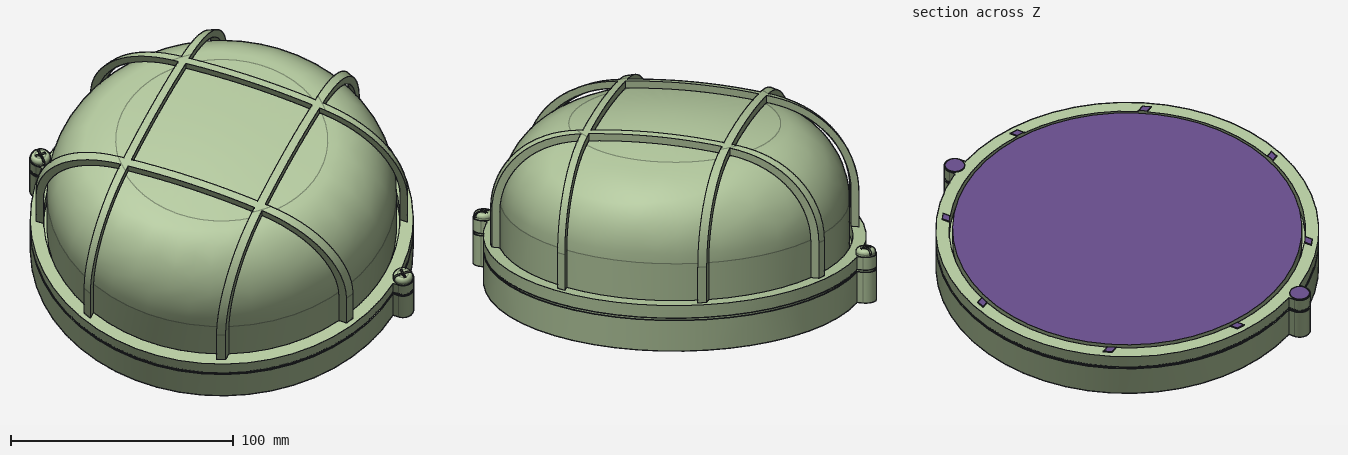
import cadquery as cq
import math

base_radius = 86.0
base_height = 22.0
groove_bottom = 14.8
groove_height = 1.1
groove_depth = 0.5
groove_top = groove_bottom + groove_height

glass_radius = 78.5
shoulder_start = 39.3
shoulder_radius = 37.4
shoulder_sweep = math.radians(80)

guard_gap = 1.5
guard_thickness = 3.4
bar_width = 3.7
bar_offset = 32.7

overall_length = 187.0
boss_radius = 4.9
boss_offset = overall_length / 2 - boss_radius

head_radius = 4.5
head_height = 3.0
head_rounding = 2.0
slot_width = 1.0
slot_depth = 2.2
slot_tilt = 45


def dome(offset, bottom):
    """Solid dome grown outward from the glass surface by offset."""
    radius = glass_radius + offset
    round_radius = shoulder_radius + offset
    center_r = glass_radius - shoulder_radius

    def shoulder_point(angle):
        return (
            center_r + round_radius * math.cos(angle),
            shoulder_start + round_radius * math.sin(angle),
        )

    shoulder_end = shoulder_point(shoulder_sweep)
    crown_radius = shoulder_end[0] / math.cos(shoulder_sweep)
    crown_center = shoulder_end[1] - crown_radius * math.sin(shoulder_sweep)
    crown_middle = (math.pi / 2 + shoulder_sweep) / 2
    return (
        cq.Workplane("XZ")
        .moveTo(0, bottom)
        .lineTo(radius, bottom)
        .lineTo(radius, shoulder_start)
        .threePointArc(shoulder_point(shoulder_sweep / 2), shoulder_end)
        .threePointArc(
            (
                crown_radius * math.cos(crown_middle),
                crown_center + crown_radius * math.sin(crown_middle),
            ),
            (0, crown_center + crown_radius),
        )
        .close()
        .revolve(360, (0, 0, 0), (0, 1, 0))
    )


def base_layer(bottom, height, inset):
    """Disc with both bosses, its outline pulled inward by inset."""
    layer = cq.Workplane("XY", origin=(0, 0, bottom))
    disc = layer.circle(base_radius - inset).extrude(height)
    boss_bar = layer.slot2D(overall_length - 2 * inset, 2 * (boss_radius - inset)).extrude(height)
    return disc.union(boss_bar)


def make_base():
    housing = base_layer(0, groove_bottom, 0)
    gasket = base_layer(groove_bottom, groove_height, groove_depth)
    ring = base_layer(groove_top, base_height - groove_top, 0)
    opening = (
        cq.Workplane("XY", origin=(0, 0, groove_top))
        .circle(glass_radius + guard_gap)
        .extrude(base_height - groove_top)
    )
    return housing.union(gasket).union(ring.cut(opening))


def make_guard():
    shell = dome(guard_gap + guard_thickness, groove_top).cut(dome(guard_gap, groove_top))
    reach = 2 * base_radius
    bars = cq.Workplane("XY")
    for side in (-1, 1):
        position = side * bar_offset
        along_x = cq.Workplane("XY").center(0, position).rect(reach, bar_width).extrude(reach)
        along_y = cq.Workplane("XY").center(position, 0).rect(bar_width, reach).extrude(reach)
        bars = bars.union(along_x).union(along_y)
    return shell.intersect(bars)


def make_screw_head(slot_angle):
    head = (
        cq.Workplane("XY")
        .circle(head_radius)
        .extrude(head_height)
        .faces(">Z")
        .edges()
        .fillet(head_rounding)
    )
    flat_radius = head_radius - head_rounding
    level = cq.Workplane("XY", origin=(0, 0, head_height - slot_depth))
    slots = (
        level.rect(2 * head_radius, slot_width)
        .extrude(slot_depth)
        .union(level.rect(slot_width, 2 * flat_radius).extrude(slot_depth))
    )
    return head.cut(slots.rotate((0, 0, 0), (0, 0, 1), slot_angle))


result = make_base().union(dome(0, groove_bottom)).union(make_guard())
for side in (-1, 1):
    head = make_screw_head(side * slot_tilt)
    result = result.union(head.translate((side * boss_offset, 0, base_height)))